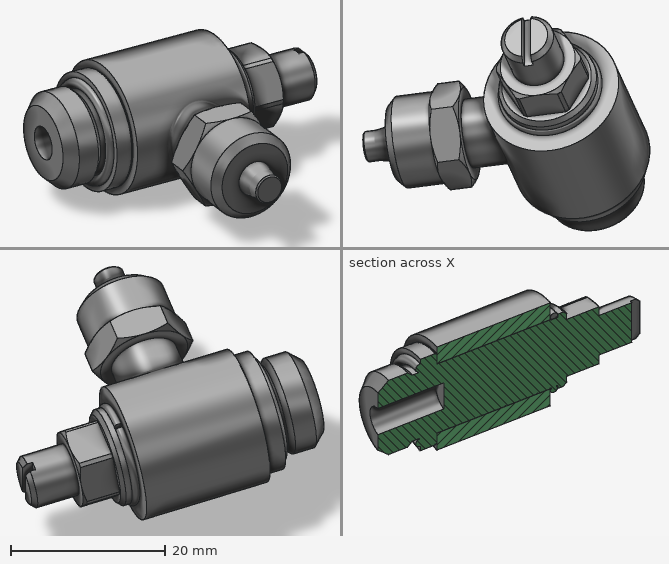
import cadquery as cq
import math

TOTAL_LENGTH = 39.5

THREAD_RADIUS = 13.0 / 2
THREAD_TIP_RADIUS = 5.0
THREAD_TIP_CHAMFER = 1.6
THREAD_TOP = 4.45
RELIEF_RADIUS = 11.6 / 2
RELIEF_BOTTOM = 5.18
BORE_DIAMETER = 4.5
BORE_DEPTH = 9.88

FLANGE_RADIUS = 16.0 / 2
FLANGE_BOTTOM = 6.35
FLANGE_TOP = 8.65
FLANGE_STEP_RADIUS = 7.85
BEAD_RADIUS = 0.7
BEAD_RING_RADIUS = RELIEF_RADIUS + BEAD_RADIUS

BARREL_RADIUS = 18.0 / 2
BARREL_BOTTOM = 8.85
BARREL_TOP = 25.88
SHAFT_RADIUS = 11.95 / 2

RING_OUTER_RADIUS = 6.9
RING_WIRE_RADIUS = 0.55
RING_CENTRE_RADIUS = RING_OUTER_RADIUS - RING_WIRE_RADIUS
RING_CENTRE_Y = BARREL_TOP + RING_WIRE_RADIUS
RING_GAP = 0.5
COLLAR_RADIUS = 13.05 / 2
COLLAR_BOTTOM = BARREL_TOP + 2 * RING_WIRE_RADIUS
COLLAR_EDGE = 27.8
COLLAR_TOP = 28.35
BOLT_HEX_FLATS = 10.0
BOLT_HEX_CORNER_RADIUS = 5.6
BOLT_HEX_TOP = 33.2
BOLT_HEX_CHAMFER = 0.35
BOLT_HEX_END_RADIUS = BOLT_HEX_FLATS / 2
STEM_RADIUS = 7.0 / 2
STEM_CHAMFER = 0.65
SLOT_WIDTH = 1.2
SLOT_DEPTH = 1.4

ARM_Y = 18.37
ARM_RADIUS = 9.0 / 2
ARM_FILLET = 0.45
JOINT_MARGIN = 0.4
NUT_START = 12.72
NUT_END = 16.67
NUT_FLATS = 12.0
NUT_CHAMFER = 0.55
CAP_RADIUS = NUT_FLATS / 2
CAP_END = 22.75
CAP_CHAMFER = 1.05
NOZZLE_ROOT_RADIUS = 2.4
NOZZLE_RADIUS = 4.0 / 2
NOZZLE_CONE_END = 24.85
NOZZLE_END = 35.5 - BARREL_RADIUS
NOZZLE_CHAMFER = 0.2


def y_cylinder(radius, start, end):
    """Cylinder about the Y axis between two Y positions."""
    return cq.Workplane("XZ", origin=(0, start, 0)).circle(radius).extrude(start - end)


def corner_diameter(flats):
    """Distance across the corners of a hexagon."""
    return flats / math.cos(math.pi / 6)


def make_bolt_turning():
    """Turned outline of the bolt without its hexagon, bead and ring."""
    outline = [
        (0, 0),
        (THREAD_TIP_RADIUS, 0),
        (THREAD_RADIUS, THREAD_TIP_CHAMFER),
        (THREAD_RADIUS, THREAD_TOP),
        (RELIEF_RADIUS, RELIEF_BOTTOM),
        (RELIEF_RADIUS, FLANGE_BOTTOM),
        (FLANGE_RADIUS, FLANGE_BOTTOM),
        (FLANGE_RADIUS, FLANGE_TOP),
        (FLANGE_STEP_RADIUS, FLANGE_TOP),
        (FLANGE_STEP_RADIUS, BARREL_BOTTOM),
        (SHAFT_RADIUS, BARREL_BOTTOM),
        (SHAFT_RADIUS, COLLAR_BOTTOM),
        (COLLAR_RADIUS, COLLAR_BOTTOM),
        (COLLAR_RADIUS, COLLAR_EDGE),
        (SHAFT_RADIUS, COLLAR_TOP),
        (STEM_RADIUS, COLLAR_TOP),
        (STEM_RADIUS, TOTAL_LENGTH - STEM_CHAMFER),
        (STEM_RADIUS - STEM_CHAMFER, TOTAL_LENGTH),
        (0, TOTAL_LENGTH),
    ]
    return cq.Workplane("XY").polyline(outline).close().revolve(360, (0, 0), (0, 1))


def make_round_ring(centre_radius, wire_radius, centre_y):
    """Torus about the Y axis."""
    torus = cq.Solid.makeTorus(centre_radius, wire_radius, cq.Vector(0, centre_y, 0), cq.Vector(0, 1, 0))
    return cq.Workplane(torus)


def make_split_ring():
    """Round wire ring with a gap on its +Z side."""
    ring = make_round_ring(RING_CENTRE_RADIUS, RING_WIRE_RADIUS, RING_CENTRE_Y)
    gap = cq.Workplane("XY", origin=(0, RING_CENTRE_Y, 0)).rect(RING_GAP, 4 * RING_WIRE_RADIUS)
    return ring.cut(gap.extrude(2 * RING_OUTER_RADIUS))


def make_bolt_hexagon():
    """Hexagon with flats facing +Z and -Z, corners turned down and top edge bevelled."""
    hexagon = (
        cq.Workplane("XZ", origin=(0, COLLAR_TOP, 0))
        .polygon(6, corner_diameter(BOLT_HEX_FLATS))
        .extrude(COLLAR_TOP - BOLT_HEX_TOP)
    )
    envelope_outline = [
        (0, COLLAR_TOP),
        (BOLT_HEX_CORNER_RADIUS, COLLAR_TOP),
        (BOLT_HEX_CORNER_RADIUS, BOLT_HEX_TOP - BOLT_HEX_CHAMFER),
        (BOLT_HEX_END_RADIUS, BOLT_HEX_TOP),
        (0, BOLT_HEX_TOP),
    ]
    envelope = cq.Workplane("XY").polyline(envelope_outline).close().revolve(360, (0, 0), (0, 1))
    return hexagon.intersect(envelope)


def make_bolt():
    """Hollow bolt with flange, split ring, hexagon and slotted stem."""
    bolt = make_bolt_turning()
    bolt = bolt.union(make_round_ring(BEAD_RING_RADIUS, BEAD_RADIUS, FLANGE_BOTTOM))
    bolt = bolt.union(make_split_ring())
    bolt = bolt.union(make_bolt_hexagon())
    slot = cq.Workplane("XY").box(SLOT_WIDTH, 2 * SLOT_DEPTH, 4 * STEM_RADIUS)
    bolt = bolt.cut(slot.translate((0, TOTAL_LENGTH, 0)))
    return bolt.cut(y_cylinder(BORE_DIAMETER / 2, 0, BORE_DEPTH))


def make_barrel_and_neck():
    """Barrel with the arm's round neck blended into its +X side."""
    barrel = y_cylinder(BARREL_RADIUS, BARREL_BOTTOM, BARREL_TOP)
    neck = cq.Workplane("YZ").center(ARM_Y, 0).circle(ARM_RADIUS).extrude(NUT_START)
    joint_zone = cq.selectors.BoxSelector(
        (0, BARREL_BOTTOM + JOINT_MARGIN, -BARREL_RADIUS),
        (NUT_START - JOINT_MARGIN, BARREL_TOP - JOINT_MARGIN, BARREL_RADIUS),
        boundingbox=True,
    )
    return barrel.union(neck).edges(joint_zone).fillet(ARM_FILLET)


def make_arm_nut():
    """Hexagon on the arm, flats facing +Z and -Z, with both ends bevelled."""
    corner_radius = corner_diameter(NUT_FLATS) / 2
    hexagon = (
        cq.Workplane("YZ", origin=(NUT_START, ARM_Y, 0))
        .polygon(6, 2 * corner_radius)
        .extrude(NUT_END - NUT_START)
    )
    envelope_outline = [
        (NUT_START, 0),
        (NUT_START, CAP_RADIUS),
        (NUT_START + NUT_CHAMFER, corner_radius),
        (NUT_END - NUT_CHAMFER, corner_radius),
        (NUT_END, CAP_RADIUS),
        (NUT_END, 0),
    ]
    envelope = (
        cq.Workplane("XY", origin=(0, ARM_Y, 0))
        .polyline(envelope_outline).close()
        .revolve(360, (0, 0), (1, 0))
    )
    return hexagon.intersect(envelope)


def make_cap_and_nozzle():
    """Round cap beyond the hexagon, tapering into the nozzle at the arm's end."""
    outline = [
        (NUT_END, 0),
        (NUT_END, CAP_RADIUS),
        (CAP_END - CAP_CHAMFER, CAP_RADIUS),
        (CAP_END, CAP_RADIUS - CAP_CHAMFER),
        (CAP_END, NOZZLE_ROOT_RADIUS),
        (NOZZLE_CONE_END, NOZZLE_RADIUS),
        (NOZZLE_END - NOZZLE_CHAMFER, NOZZLE_RADIUS),
        (NOZZLE_END, NOZZLE_RADIUS - NOZZLE_CHAMFER),
        (NOZZLE_END, 0),
    ]
    return (
        cq.Workplane("XY", origin=(0, ARM_Y, 0))
        .polyline(outline).close()
        .revolve(360, (0, 0), (1, 0))
    )


def make_housing():
    """Barrel and hose arm, bored through for the bolt shaft."""
    housing = make_barrel_and_neck().union(make_arm_nut()).union(make_cap_and_nozzle())
    return housing.cut(y_cylinder(SHAFT_RADIUS, BARREL_BOTTOM, BARREL_TOP))


bolt = make_bolt()
housing = make_housing()
result = cq.Compound.makeCompound([housing.val(), bolt.val()])